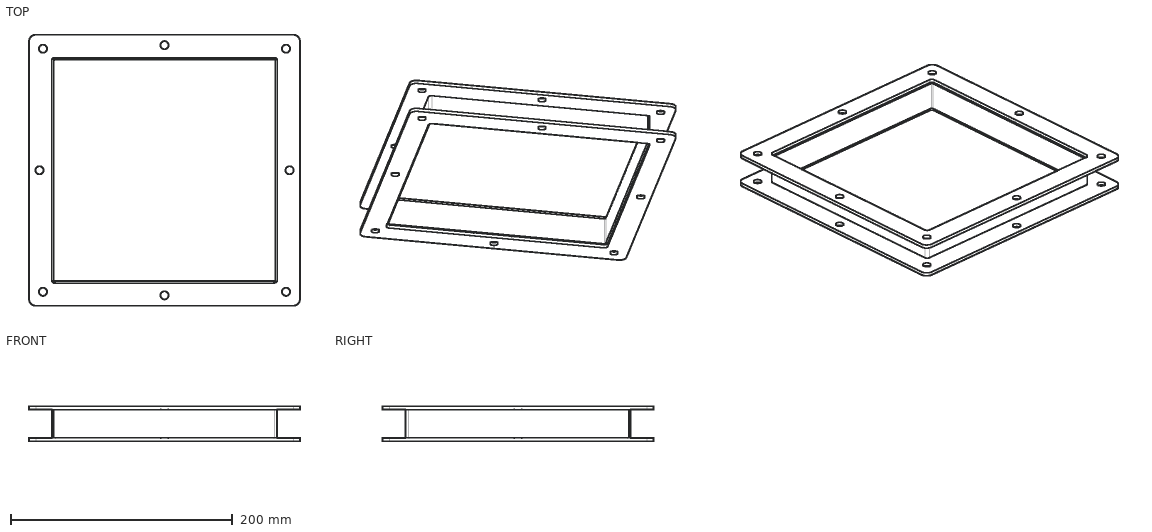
import cadquery as cq

flange_side = 244.475
total_height = 31.75

flange_thickness = 3.175
flange_corner_radius = 6.35
opening_side = 203.2
opening_corner_radius = 3.175

bolt_hole_diameter = 7.14
corner_hole_inset = 12.7
middle_hole_inset = 9.525

duct_side = 203.2
wall_thickness = 1.897
bend_inner_radius = 0.8

bend_outer_radius = bend_inner_radius + wall_thickness
wall_height = total_height - 2 * flange_thickness
top_flange_base = total_height - flange_thickness


def bolt_hole_centers():
    """One hole near each corner and one at the middle of each side."""
    corner = flange_side / 2 - corner_hole_inset
    middle = flange_side / 2 - middle_hole_inset
    corners = [(x, y) for x in (-corner, corner) for y in (-corner, corner)]
    middles = [(-middle, 0), (middle, 0), (0, -middle), (0, middle)]
    return corners + middles


def make_flange(base_z):
    """Square ring plate with rounded corners and eight bolt holes."""
    plate = (
        cq.Workplane("XY", origin=(0, 0, base_z))
        .rect(flange_side, flange_side)
        .extrude(flange_thickness)
        .edges("|Z")
        .fillet(flange_corner_radius)
    )
    opening = (
        cq.Workplane("XY", origin=(0, 0, base_z))
        .rect(opening_side, opening_side)
        .extrude(flange_thickness)
        .edges("|Z")
        .fillet(opening_corner_radius)
    )
    holes = (
        cq.Workplane("XY", origin=(0, 0, base_z))
        .pushPoints(bolt_hole_centers())
        .circle(bolt_hole_diameter / 2)
        .extrude(flange_thickness)
    )
    return plate.cut(opening).cut(holes)


def make_wall_angle(turn):
    """Sheet bent at the +X -Y corner, then turned about Z.

    Each leg stops one wall thickness short of the far outside face, so the
    ends of the two angles meet edge to edge at the unbent corners.
    """
    outer = duct_side / 2
    inner = outer - wall_thickness
    angle = (
        cq.Workplane("XY", origin=(0, 0, flange_thickness))
        .moveTo(-inner, -outer)
        .lineTo(outer - bend_outer_radius, -outer)
        .radiusArc((outer, -outer + bend_outer_radius), -bend_outer_radius)
        .lineTo(outer, inner)
        .lineTo(inner, inner)
        .lineTo(inner, -inner + bend_inner_radius)
        .radiusArc((inner - bend_inner_radius, -inner), bend_inner_radius)
        .lineTo(-inner, -inner)
        .close()
        .extrude(wall_height)
    )
    return angle.rotate((0, 0, 0), (0, 0, 1), turn)


flanges = [make_flange(base_z) for base_z in (0, top_flange_base)]
wall_angles = [make_wall_angle(turn) for turn in (0, 180)]

result = cq.Compound.makeCompound([body.val() for body in flanges + wall_angles])